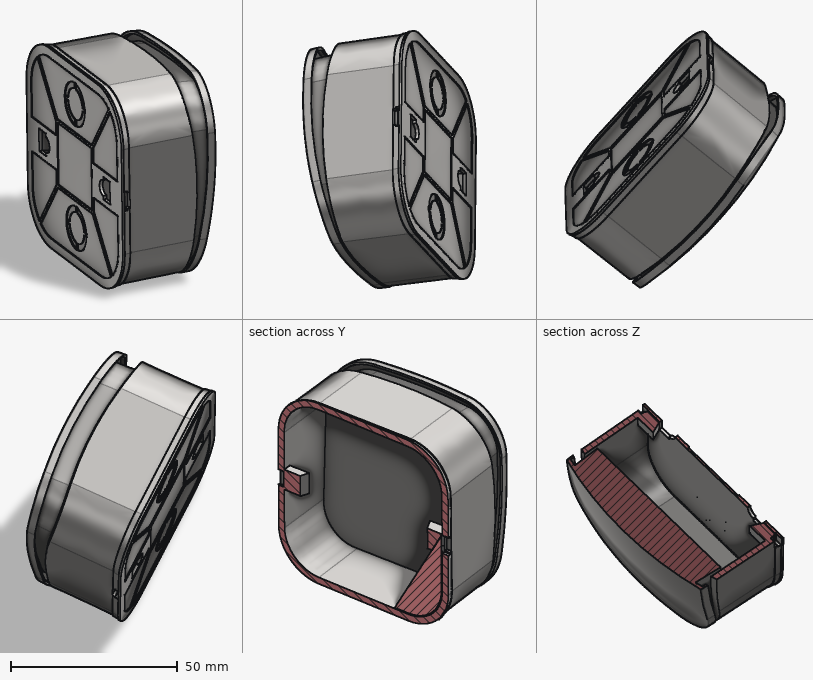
import cadquery as cq
import math

ROLL_X = 0.65
ROLL_Y = -0.25
ROLL_Z = 1.2

PLATE_WIDTH = 65.05
PLATE_THICKNESS = 0.8
PLATE_STEP = 0.3
PLATE_CLEARANCE = 0.2
STRAIGHT_LENGTH = 33.9

SKIRT_BASE_WIDTH = 64.65
SKIRT_TOP_WIDTH = 64.25
SKIRT_HEIGHT = 2.0
HOUSING_BASE_WIDTH = 63.75
HOUSING_DRAFT = 0.5
WALL = 2.1
CAVITY_WIDTH = HOUSING_BASE_WIDTH - 2 * WALL
CAVITY_RADIUS = (CAVITY_WIDTH - STRAIGHT_LENGTH) / 2
RIM_RADIUS = 117.3
RIM_APEX = 29.85

DOME_RADIUS = 130.35
DOME_APEX = 35.85
DOME_OFFSET_Z = 11.1
LID_THICKNESS = 2.55
LID_DRAFT = 3.0
LID_TILT = 3.0
LID_WIDTH = 63.35
LID_DROP = 0.3
DOME_EDGE_FILLET = 0.25
LID_PIVOT_Y = 28.0
LID_ROOF = 1.3
LID_LIP = 0.85
NECK_INSET = 3.1
NECK_END_Y = 21.5

PANEL_DEPTH = 0.3
PANEL_MARGIN = 3.1
CENTRE_WIDTH = 23.3
CENTRE_HEIGHT = 20.2
RIDGE = 1.0
BAND_HEIGHT = 11.2
DIAGONAL_END = (24.1, 26.4)

RING_OFFSET_Z = 20.1
RING_OUTER_RADIUS = 7.0
RING_INNER_RADIUS = 4.95
DISC_DEPTH = 0.45
RING_DEPTH = 0.7
TAB_WIDTH = 1.0

WINDOW_OUTER_X = 24.3
WINDOW_INNER_X = 19.6
WINDOW_HEIGHT = 7.3
WINDOW_ROUND_RADIUS = 2.55
LATCH_TIP_X = 22.55
LATCH_THICKNESS = 3.9
NOTCH_WIDE_DEPTH = 2.35
NOTCH_NARROW_DEPTH = 2.1
NOTCH_WIDE = 6.2
NOTCH_NARROW = 5.35
NOTCH_WIDE_HEIGHT = 1.2
NOTCH_HEIGHT = 2.2

SIDES = (-1, 1)


def section(y):
    """Workplane across the depth axis at height y: drawn to the left and up, extruded towards +Y."""
    return cq.Workplane(cq.Plane(origin=(0, y, 0), xDir=(-1, 0, 0), normal=(0, 1, 0)))


def rounded_prism(y, width, radius, height, draft=0.0):
    """Square prism with round corners; positive draft narrows it and negative draft widens it."""
    outline = cq.Sketch().rect(width, width).vertices().fillet(radius)
    return section(y).placeSketch(outline).extrude(height, taper=draft)


def corner_radius(width):
    return (width - STRAIGHT_LENGTH) / 2


def box(x_range, y_range, height):
    """Box between two x and two y positions, centred on z = 0."""
    x_low, x_high = sorted(x_range)
    y_low, y_high = y_range
    return (
        cq.Workplane()
        .box(x_high - x_low, y_high - y_low, height)
        .translate(((x_low + x_high) / 2, (y_low + y_high) / 2, 0))
    )


def ball(radius, apex_y, centre_z=0.0):
    """Ball whose farthest point along +Y is at apex_y."""
    return cq.Workplane().sphere(radius).translate((0, apex_y - radius, centre_z))


def panel_recesses():
    """One central panel, four side panels and two trapezoidal panels, parted by narrow ridges."""
    field_width = PLATE_WIDTH - 2 * PANEL_MARGIN
    field = rounded_prism(0, field_width, corner_radius(PLATE_WIDTH) - PANEL_MARGIN, PANEL_DEPTH)
    centre = section(0).rect(CENTRE_WIDTH, CENTRE_HEIGHT).extrude(PANEL_DEPTH)
    frame = section(0).rect(CENTRE_WIDTH + 2 * RIDGE, CENTRE_HEIGHT + 2 * RIDGE).extrude(PANEL_DEPTH)
    band = section(0).rect(PLATE_WIDTH, BAND_HEIGHT).extrude(PANEL_DEPTH)
    field = field.cut(frame).cut(band)

    start_x = (CENTRE_WIDTH + RIDGE) / 2
    start_z = (CENTRE_HEIGHT + RIDGE) / 2
    run = DIAGONAL_END[0] - start_x
    rise = DIAGONAL_END[1] - start_z
    ridge_length = 2 * math.hypot(run, rise)
    ridge_angle = math.degrees(math.atan2(rise, run))
    for side_x in SIDES:
        for side_z in SIDES:
            ridge = (
                section(0)
                .center(side_x * DIAGONAL_END[0], side_z * DIAGONAL_END[1])
                .transformed(rotate=(0, 0, side_x * side_z * ridge_angle))
                .rect(ridge_length, RIDGE)
                .extrude(PANEL_DEPTH)
            )
            field = field.cut(ridge)
    return field.union(centre)


def knockout_ring(centre_z):
    """Shallow round recess with a deeper ring groove that four tabs interrupt."""
    plane = section(0).center(0, centre_z)
    ring = plane.circle(RING_OUTER_RADIUS).circle(RING_INNER_RADIUS).extrude(RING_DEPTH)
    for tab_size in ((TAB_WIDTH, 2 * RING_OUTER_RADIUS), (2 * RING_OUTER_RADIUS, TAB_WIDTH)):
        ring = ring.cut(plane.rect(*tab_size).extrude(RING_DEPTH))
    return ring.union(plane.circle(RING_OUTER_RADIUS).extrude(DISC_DEPTH))


def latch_window(side):
    """Rectangular opening with a semicircular bay towards the middle of the plate."""
    depth = PLATE_THICKNESS + PLATE_STEP
    opening = box((side * WINDOW_INNER_X, side * WINDOW_OUTER_X), (0, depth), WINDOW_HEIGHT)
    bay = (
        section(0)
        .center(-side * WINDOW_INNER_X, 0)
        .circle(WINDOW_ROUND_RADIUS)
        .extrude(depth)
    )
    return opening.union(bay)


def make_plate():
    plate = rounded_prism(0, PLATE_WIDTH, corner_radius(PLATE_WIDTH), PLATE_THICKNESS)
    step_width = CAVITY_WIDTH - 2 * PLATE_CLEARANCE
    plate = plate.union(
        rounded_prism(PLATE_THICKNESS, step_width, CAVITY_RADIUS - PLATE_CLEARANCE, PLATE_STEP)
    )
    plate = plate.cut(panel_recesses())
    for side in SIDES:
        plate = plate.cut(knockout_ring(side * RING_OFFSET_Z))
        plate = plate.cut(latch_window(side))
    return plate


def release_notch(side):
    """Stepped notch in the foot of a side wall, beside the back plate."""
    foot = PLATE_THICKNESS
    outer_x = side * PLATE_WIDTH / 2
    wide_x = side * (SKIRT_BASE_WIDTH / 2 - NOTCH_WIDE_DEPTH)
    narrow_x = side * (SKIRT_BASE_WIDTH / 2 - NOTCH_NARROW_DEPTH)
    wide = box((wide_x, outer_x), (foot, foot + NOTCH_WIDE_HEIGHT), NOTCH_WIDE)
    narrow = box((narrow_x, outer_x), (foot, foot + NOTCH_HEIGHT), NOTCH_NARROW)
    return wide.union(narrow)


def latch(side):
    """Block standing in from a side wall, its sloping tip showing behind a latch window."""
    low = PLATE_THICKNESS + PLATE_STEP
    high = low + LATCH_THICKNESS
    root_x = (CAVITY_WIDTH + WALL) / 2
    outline = [(root_x, low), (WINDOW_OUTER_X, low), (LATCH_TIP_X, high), (root_x, high)]
    return (
        cq.Workplane("XY")
        .polyline([(side * x, y) for x, y in outline])
        .close()
        .extrude(WINDOW_HEIGHT / 2, both=True)
    )


def make_housing():
    foot = PLATE_THICKNESS
    height = RIM_APEX - foot
    skirt_draft = math.degrees(math.atan((SKIRT_BASE_WIDTH - SKIRT_TOP_WIDTH) / 2 / SKIRT_HEIGHT))

    shell = rounded_prism(
        foot, HOUSING_BASE_WIDTH, corner_radius(HOUSING_BASE_WIDTH), height, HOUSING_DRAFT
    )
    skirt = rounded_prism(
        foot, SKIRT_BASE_WIDTH, corner_radius(SKIRT_BASE_WIDTH), SKIRT_HEIGHT, skirt_draft
    )
    cavity = rounded_prism(foot, CAVITY_WIDTH, CAVITY_RADIUS, height, HOUSING_DRAFT)
    housing = shell.union(skirt).cut(cavity).intersect(ball(RIM_RADIUS, RIM_APEX))

    for side in SIDES:
        housing = housing.union(latch(side)).cut(release_notch(side))
    return housing


def lean_lid(prism):
    """Tilt a prism of the lid downwards and shift it below the housing axis."""
    pivot = ((0, LID_PIVOT_Y, 0), (1, LID_PIVOT_Y, 0))
    return prism.rotate(*pivot, -LID_TILT).translate((0, 0, -LID_DROP))


def make_lid():
    """Domed cover of even thickness on a narrower neck that reaches into the housing."""
    flare = math.tan(math.radians(LID_DRAFT)) * (LID_PIVOT_Y - NECK_END_Y)
    cover_height = DOME_APEX - NECK_END_Y
    cover_width = LID_WIDTH + 2 * flare
    cover_radius = corner_radius(LID_WIDTH) + flare
    cover = rounded_prism(NECK_END_Y, cover_width, cover_radius, cover_height, LID_DRAFT)
    hollow = rounded_prism(
        NECK_END_Y, cover_width - 2 * LID_LIP, cover_radius - LID_LIP, cover_height, LID_DRAFT
    )
    neck = rounded_prism(
        NECK_END_Y, cover_width - 2 * NECK_INSET, cover_radius - NECK_INSET, cover_height, LID_DRAFT
    )
    cover, hollow, neck = (lean_lid(prism) for prism in (cover, hollow, neck))

    dome = ball(DOME_RADIUS, DOME_APEX, DOME_OFFSET_Z)
    underside = ball(DOME_RADIUS - LID_THICKNESS, DOME_APEX - LID_THICKNESS, DOME_OFFSET_Z)
    roof = ball(DOME_RADIUS - LID_ROOF, DOME_APEX - LID_ROOF, DOME_OFFSET_Z)
    cover = cover.intersect(dome).faces(">Y").edges().fillet(DOME_EDGE_FILLET)
    cover = cover.cut(underside).cut(hollow.intersect(roof))
    return cover.union(neck.intersect(dome))


def pose(body):
    """Lean a body by the small angles of the assembly."""
    origin = (0, 0, 0)
    body = body.rotate(origin, (1, 0, 0), ROLL_X)
    body = body.rotate(origin, (0, 1, 0), ROLL_Y)
    return body.rotate(origin, (0, 0, 1), ROLL_Z)


plate = pose(make_plate())
housing = pose(make_housing())
lid = pose(make_lid())

result = cq.Compound.makeCompound([plate.val(), housing.val(), lid.val()])